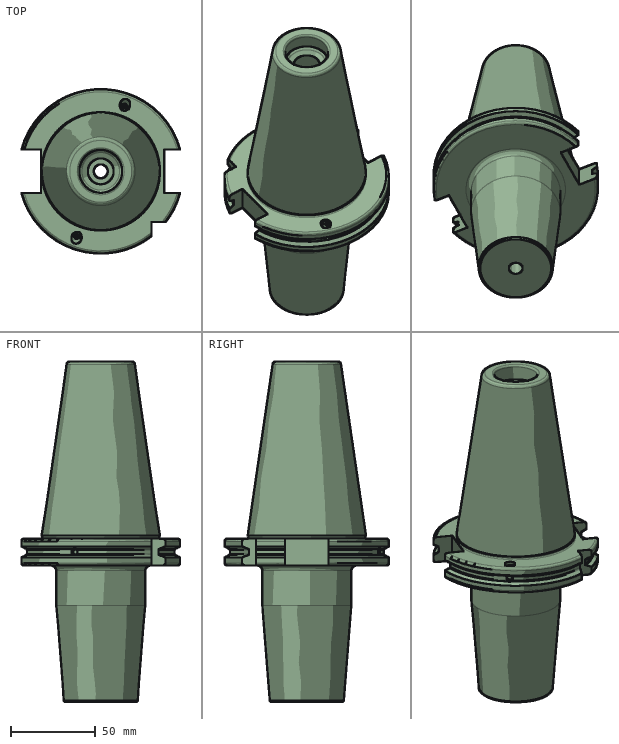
import cadquery as cq
import math

taper_length = 101.7
nose_length = 100.0
gauge_radius = 35.0
taper_slope = 7 / 48
taper_top_fillet = 2.0
taper_end = -1.5
undercut_radius = 34.7
undercut_fillet = 0.6

flange_diameter = 97.5
flange_radius = flange_diameter / 2
flange_top = -3.2
flange_bottom = -19.2
flange_fillet = 1.6

groove_radius = 45.5
groove_center = -11.0
groove_floor_width = 3.2
groove_mouth_width = 6.7
groove_fillet = 0.6

neck_radius = 26.5
neck_fillet = 3.0
neck_end = -42.8
nose_radius = 22.0
nose_chamfer = 1.0

slot_width = 25.6
left_slot_floor = 35.5
right_slot_floor = 37.7
notch_corner = 30.0

mouth_fillet = 1.2
counterbore_radius = 12.7
counterbore_depth = 9.0
seat_height = 1.2
drill_tip_height = 1.2
thread_radius = 11.0
pilot_radius = 7.7
pilot_depth = 24.2
through_radius = 4.0

coolant_radius = 3.0
coolant_circle_radius = 42.0
coolant_azimuths = (70, 250)
coolant_tilt = 30
coolant_depth = 4.8
socket_flats = 3.0
socket_depth = 1.6

radial_hole_radius = 1.92
radial_hole_depth = 3.0


def turned_body():
    """Taper, grooved flange, neck and conical nose as one revolved profile."""
    top_radius = gauge_radius - taper_slope * taper_length
    rim_radius = flange_radius - flange_fillet
    half_floor = groove_floor_width / 2
    half_mouth = groove_mouth_width / 2
    profile = (
        cq.Workplane("YZ")
        .moveTo(0, taper_length)
        .lineTo(top_radius, taper_length)
        .lineTo(gauge_radius - taper_slope * taper_end, taper_end)
        .lineTo(undercut_radius, taper_end)
        .lineTo(undercut_radius, flange_top + undercut_fillet)
        .radiusArc((undercut_radius + undercut_fillet, flange_top), -undercut_fillet)
        .lineTo(rim_radius, flange_top)
        .radiusArc((flange_radius, flange_top - flange_fillet), flange_fillet)
        .lineTo(flange_radius, groove_center + half_mouth)
        .lineTo(groove_radius, groove_center + half_floor)
        .lineTo(groove_radius, groove_center - half_floor)
        .lineTo(flange_radius, groove_center - half_mouth)
        .lineTo(flange_radius, flange_bottom + flange_fillet)
        .radiusArc((rim_radius, flange_bottom), flange_fillet)
        .lineTo(neck_radius + neck_fillet, flange_bottom)
        .radiusArc((neck_radius, flange_bottom - neck_fillet), -neck_fillet)
        .lineTo(neck_radius, neck_end)
        .lineTo(nose_radius, nose_chamfer - nose_length)
        .lineTo(nose_radius - nose_chamfer, -nose_length)
        .lineTo(0, -nose_length)
        .close()
    )
    body = profile.revolve(360, (0, 0, 0), (0, 1, 0))
    body = body.faces(">Z").edges().fillet(taper_top_fillet)
    groove_floor_zone = cq.selectors.BoxSelector(
        (-flange_radius, -flange_radius, groove_center - half_floor - groove_fillet),
        (flange_radius, flange_radius, groove_center + half_floor + groove_fillet),
        boundingbox=True,
    )
    return body.edges(groove_floor_zone).edges("%CIRCLE").fillet(groove_fillet)


def stepped_bore():
    """Counterbore, drill steps and coolant passage along the axis."""
    counterbore_floor = taper_length - counterbore_depth
    thread_top = counterbore_floor - seat_height
    pilot_top = thread_top - drill_tip_height
    pilot_floor = taper_length - pilot_depth
    return (
        cq.Workplane("YZ")
        .moveTo(0, taper_length)
        .lineTo(counterbore_radius + mouth_fillet, taper_length)
        .radiusArc((counterbore_radius, taper_length - mouth_fillet), -mouth_fillet)
        .lineTo(counterbore_radius, counterbore_floor)
        .lineTo(thread_radius, thread_top)
        .lineTo(pilot_radius, pilot_top)
        .lineTo(pilot_radius, pilot_floor)
        .lineTo(through_radius, pilot_floor)
        .lineTo(through_radius, -nose_length)
        .lineTo(0, -nose_length)
        .close()
        .revolve(360, (0, 0, 0), (0, 1, 0))
    )


def flange_cut(x_min, x_max, y_min, y_max):
    """Rectangular cut through the full height of the flange."""
    return cq.Workplane("XY").box(
        x_max - x_min, y_max - y_min, flange_top - flange_bottom, centered=False
    ).translate((x_min, y_min, flange_bottom))


def coolant_hole(azimuth):
    """Blind hole with a hexagonal socket in its floor, leaning toward the axis going down."""
    lean = math.radians(coolant_tilt)
    inward = cq.Vector(-math.sin(lean), 0, -math.cos(lean))
    center = cq.Vector(coolant_circle_radius, 0, flange_top)
    overshoot = 2 * coolant_radius
    mouth_plane = cq.Plane(center - inward * overshoot, xDir=(0, 1, 0), normal=inward)
    floor_depth = overshoot + coolant_depth
    socket_corners = socket_flats / math.cos(math.pi / 6)
    hole = cq.Workplane(mouth_plane).circle(coolant_radius).extrude(floor_depth)
    socket = cq.Workplane(mouth_plane).polygon(6, socket_corners).extrude(floor_depth + socket_depth)
    return hole.union(socket).rotate((0, 0, 0), (0, 0, 1), azimuth)


def radial_hole(azimuth):
    """Blind hole drilled toward the axis from the groove floor."""
    return (
        cq.Workplane("YZ", origin=(groove_radius - radial_hole_depth, 0, groove_center))
        .circle(radial_hole_radius)
        .extrude(flange_radius - groove_radius + radial_hole_depth)
        .rotate((0, 0, 0), (0, 0, 1), azimuth)
    )


half_slot = slot_width / 2
result = turned_body().cut(stepped_bore())
result = result.cut(flange_cut(-flange_radius, -left_slot_floor, -half_slot, half_slot))
result = result.cut(flange_cut(right_slot_floor, flange_radius, -half_slot, half_slot))
result = result.cut(flange_cut(notch_corner, flange_radius, -flange_radius, -notch_corner))
for coolant_azimuth in coolant_azimuths:
    result = result.cut(coolant_hole(coolant_azimuth))
    result = result.cut(radial_hole(coolant_azimuth))